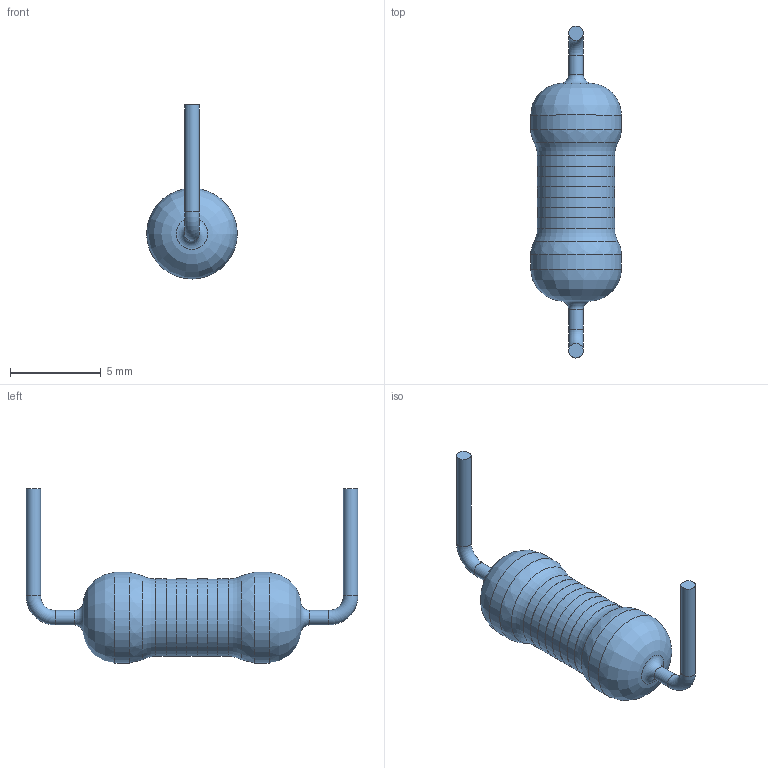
import cadquery as cq
import math


body_length = 12.0
collar_diameter = 5.0
collar_width = 0.8
waist_diameter = 4.25
cap_radius = 1.75
shoulder_radius = 1.5

band_diameter = 4.27
band_count = 4

lead_diameter = 0.8
lead_pitch = 17.5
lead_top = 7.1
lead_bend_radius = 1.2
lead_root_fillet = 0.5

collar_r = collar_diameter / 2
waist_r = waist_diameter / 2
lead_r = lead_diameter / 2

body_end = body_length / 2
collar_outer = body_end - cap_radius
collar_inner = collar_outer - collar_width

shoulder_drop = (collar_r - waist_r) / 2
shoulder_angle = math.acos(1 - shoulder_drop / shoulder_radius)
shoulder_run = shoulder_radius * math.sin(shoulder_angle)
shoulder_middle = collar_inner - shoulder_run
waist_end = shoulder_middle - shoulder_run
waist_length = 2 * waist_end

band_width = waist_length / (2 * band_count - 1)
band_pitch = 2 * band_width

cap_centre_r = collar_r - cap_radius
root_centre_r = lead_r + lead_root_fillet
root_lean = math.asin((root_centre_r - cap_centre_r) / (cap_radius + lead_root_fillet))
root_end = collar_outer + (cap_radius + lead_root_fillet) * math.cos(root_lean)
root_touch_r = cap_centre_r + cap_radius * math.sin(root_lean)
root_touch_y = collar_outer + cap_radius * math.cos(root_lean)


def arc_point(centre_r, centre_y, radius, angle):
    """Point on an arc, with the angle measured from the +Y axis towards larger radius."""
    return (centre_r + radius * math.sin(angle), centre_y + radius * math.cos(angle))


def make_body_end():
    """Revolve the +Y end of the body, from the waist to the fillet at the lead root."""
    waist_arc_middle = arc_point(waist_r + shoulder_radius, waist_end,
                                 shoulder_radius, -math.pi / 2 + shoulder_angle / 2)
    collar_arc_middle = arc_point(collar_r - shoulder_radius, collar_inner,
                                  shoulder_radius, math.pi / 2 + shoulder_angle / 2)
    cap_arc_middle = arc_point(cap_centre_r, collar_outer,
                               cap_radius, (math.pi / 2 + root_lean) / 2)
    root_arc_middle = arc_point(root_centre_r, root_end,
                                lead_root_fillet, (root_lean - 3 * math.pi / 2) / 2)
    profile = (
        cq.Workplane("XY")
        .moveTo(0, waist_end)
        .lineTo(waist_r, waist_end)
        .threePointArc(waist_arc_middle, (waist_r + shoulder_drop, shoulder_middle))
        .threePointArc(collar_arc_middle, (collar_r, collar_inner))
        .lineTo(collar_r, collar_outer)
        .threePointArc(cap_arc_middle, (root_touch_r, root_touch_y))
        .threePointArc(root_arc_middle, (lead_r, root_end))
        .lineTo(0, root_end)
        .close()
    )
    return profile.revolve(360, (0, 0, 0), (0, 1, 0))


def make_lead():
    """Sweep the +Y lead from the root fillet, around the bend and up to its tip."""
    lead_y = lead_pitch / 2
    bend_start = lead_y - lead_bend_radius
    bend_inset = lead_bend_radius * (1 - math.sqrt(0.5))
    path = (
        cq.Workplane("YZ")
        .moveTo(root_end, 0)
        .lineTo(bend_start, 0)
        .threePointArc((lead_y - bend_inset, bend_inset), (lead_y, lead_bend_radius))
        .lineTo(lead_y, lead_top)
    )
    section = cq.Workplane("XZ", origin=(0, root_end, 0)).circle(lead_r)
    return section.sweep(path)


def make_cylinder(diameter, length, centre_y):
    """Cylinder on the body axis, centred at the given station along Y."""
    return (
        cq.Workplane("XZ", origin=(0, centre_y + length / 2, 0))
        .circle(diameter / 2)
        .extrude(length)
    )


end_with_lead = make_body_end().union(make_lead())
result = make_cylinder(waist_diameter, waist_length, 0)
result = result.union(end_with_lead).union(end_with_lead.mirror("XZ"))

for index in range(band_count):
    band_y = (index - (band_count - 1) / 2) * band_pitch
    result = result.union(make_cylinder(band_diameter, band_width, band_y))